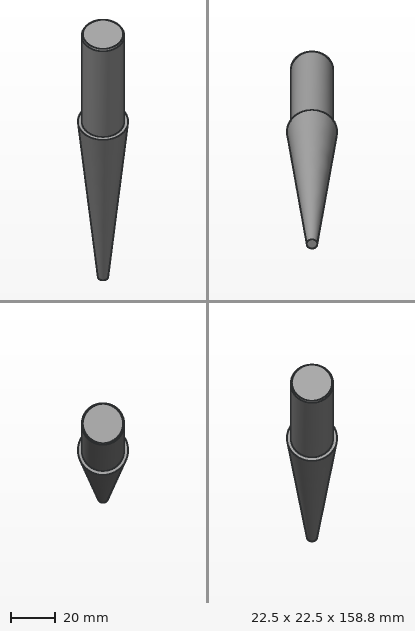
import cadquery as cq

total_length = 158.8
cone_length = 101.6

cone_top_diameter = 22.5
cone_tip_diameter = 4.8
shank_diameter = 19.0

chamfer_height = 1.02
chamfer_width = 0.57


def make_cone():
    """Tapered spike, narrowing downward to a flat tip."""
    return (
        cq.Workplane("XZ")
        .moveTo(0, 0)
        .lineTo(cone_tip_diameter / 2, 0)
        .lineTo(cone_top_diameter / 2, cone_length)
        .lineTo(0, cone_length)
        .close()
        .revolve(360, (0, 0), (0, 1))
    )


def make_shank():
    """Cylindrical shank on the wide end of the cone, bevelled at its free end."""
    shank_radius = shank_diameter / 2
    return (
        cq.Workplane("XZ")
        .moveTo(0, cone_length)
        .lineTo(shank_radius, cone_length)
        .lineTo(shank_radius, total_length - chamfer_height)
        .lineTo(shank_radius - chamfer_width, total_length)
        .lineTo(0, total_length)
        .close()
        .revolve(360, (0, 0), (0, 1))
    )


cone = make_cone()
shank = make_shank()

result = cq.Compound.makeCompound([cone.val(), shank.val()])